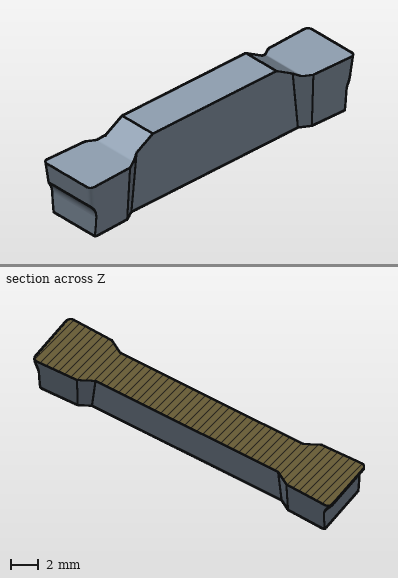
import cadquery as cq
import math


def tan(degrees):
    return math.tan(math.radians(degrees))


length = 26.02
height = 5.79
half_length = length / 2

web_width = 3.25
crest_half_length = 6.06
ramp_angle = 30.0
ramp_root_radius = 0.4

head_width = 5.0
rake_height = 4.53
side_clearance = 3.0
front_clearance = 7.0
back_taper = 2.0
shoulder_angle = 30.0
shoulder_setback = 4.02
corner_radius = 0.4

lip_depth = 1.72
relief_bottom_depth = 2.88
foot_setback = 0.74

MARGIN = 2.0
PICK_TOLERANCE = 0.01


def side_profile():
    """Long profile of the insert: crest, ramps and flat rake faces."""
    ramp_root = crest_half_length + (height - rake_height) / tan(ramp_angle)
    profile = (
        cq.Workplane("YZ")
        .polyline([
            (-half_length, 0),
            (half_length, 0),
            (half_length, rake_height),
            (ramp_root, rake_height),
            (crest_half_length, height),
            (-crest_half_length, height),
            (-ramp_root, rake_height),
            (-half_length, rake_height),
        ])
        .close()
        .extrude(head_width, both=True)
    )
    root_edges = cq.selectors.BoxSelector(
        (-head_width, -ramp_root - PICK_TOLERANCE, rake_height - PICK_TOLERANCE),
        (head_width, ramp_root + PICK_TOLERANCE, rake_height + PICK_TOLERANCE),
    )
    return profile.edges("|X").edges(root_edges).fillet(ramp_root_radius)


def web():
    """Straight bar whose ends are buried in the heads."""
    web_length = 2 * (half_length - shoulder_setback)
    return cq.Workplane("XY").box(web_width, web_length, height, centered=(True, True, False))


def head_outline(plane):
    """Flanks and shoulders of the +Y head at the rake face, overrunning the cutting edge."""
    edge_y = half_length - corner_radius
    shoulder_y = half_length - shoulder_setback
    shoulder_x = head_width / 2 - (edge_y - shoulder_y) * tan(back_taper)
    tail_x = web_width / 4
    tail_y = shoulder_y - (shoulder_x - tail_x) / tan(shoulder_angle)
    front_y = half_length + MARGIN
    front_x = head_width / 2 + (front_y - edge_y) * tan(back_taper)
    return (
        cq.Workplane(plane)
        .polyline([
            (-front_x, front_y),
            (-shoulder_x, shoulder_y),
            (-tail_x, tail_y),
            (tail_x, tail_y),
            (shoulder_x, shoulder_y),
            (front_x, front_y),
        ])
        .close()
    )


def drafted_head():
    """Head at the +Y end, its flanks widening upwards; it overruns the base of the insert."""
    rake_center = (0, 0, rake_height)
    upward = cq.Plane(origin=rake_center, xDir=(1, 0, 0), normal=(0, 0, 1))
    downward = cq.Plane(origin=rake_center, xDir=(-1, 0, 0), normal=(0, 0, -1))
    below_rake = head_outline(downward).extrude(rake_height + MARGIN, taper=side_clearance)
    above_rake = head_outline(upward).extrude(height - rake_height, taper=-side_clearance)
    return below_rake.union(above_rake)


def front_face_cutter():
    """Everything ahead of the inclined front face."""
    base_y = half_length - (rake_height + MARGIN) * tan(front_clearance)
    top_y = half_length + (height - rake_height) * tan(front_clearance)
    outer_y = half_length + 2 * MARGIN
    return (
        cq.Workplane("YZ")
        .polyline([(base_y, -MARGIN), (top_y, height), (outer_y, height), (outer_y, -MARGIN)])
        .close()
        .extrude(head_width, both=True)
    )


def relief_cutter():
    """Concave relief under the lip, running tangent into the vertical foot."""
    lip_y = half_length - lip_depth * tan(front_clearance)
    lip_z = rake_height - lip_depth
    foot_y = half_length - foot_setback
    foot_z = rake_height - relief_bottom_depth
    outer_y = half_length + MARGIN
    return (
        cq.Workplane("YZ")
        .moveTo(foot_y, -MARGIN)
        .lineTo(foot_y, foot_z)
        .tangentArcPoint((lip_y, lip_z), relative=False)
        .lineTo(outer_y, lip_z)
        .lineTo(outer_y, -MARGIN)
        .close()
        .extrude(head_width, both=True)
    )


def cutting_head():
    head = drafted_head().cut(front_face_cutter())
    front_corners = head.faces(">Y").edges("not |X")
    return front_corners.fillet(corner_radius).cut(relief_cutter())


head = cutting_head()
blank = web().union(head).union(head.mirror("XZ"))
result = blank.intersect(side_profile())